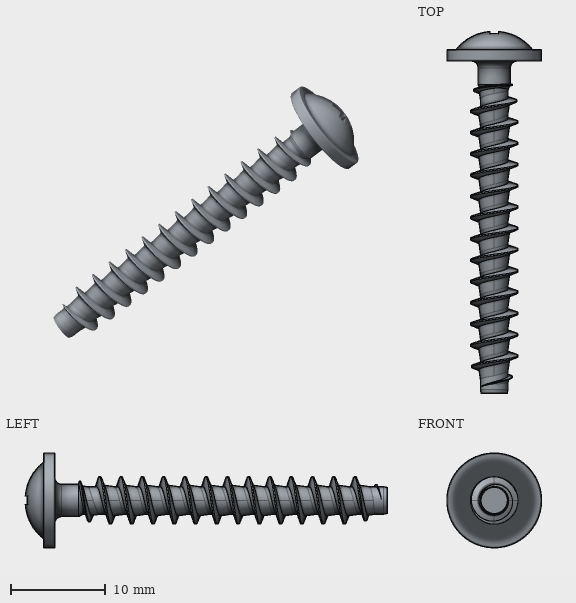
import cadquery as cq
import math


flange_diameter = 10.0
flange_thickness = 1.2
flange_edge_radius = 0.1
dome_base_radius = 4.05
overall_length = 38.13
shaft_length = 35.0
head_height = overall_length - shaft_length

recess_width = 0.9
recess_span = 3.1
recess_depth = 2.0

shank_radius = 1.71
neck_fillet = 0.7
shank_length = 2.48
shank_taper_length = 0.5
core_radius = 1.46
tip_radius = 1.38
tip_taper_length = 0.4

pitch = 2.24
crest_radius = 2.5
crest_half_width = 0.07
foot_half_width = 0.38
foot_radius = 1.63
ramp_length = 1.4
buried_radius = 1.42
runout_radius = 1.44

first_turn = -0.25
last_turn = 14.5
lead_in_turns = 0.5
thread_start_y = -2.49
segment_turns = 0.25
steps_per_segment = 4
crest_course = [
    (first_turn, runout_radius),
    (0.0, 1.95),
    (1.25, crest_radius),
    (13.25, crest_radius),
    (13.5, 2.41),
    (last_turn, runout_radius),
]


def make_body():
    """Head, shank and core as one revolved outline."""
    corner_radius = recess_width / math.sqrt(2)
    corner_rise = head_height - flange_thickness
    centre_rise = (corner_radius**2 + corner_rise**2 - dome_base_radius**2) / (2 * corner_rise)
    dome_radius = math.hypot(dome_base_radius, centre_rise)
    centre_y = flange_thickness + centre_rise
    apex_y = centre_y + dome_radius
    half_angle = math.atan2(dome_base_radius, -centre_rise) / 2
    dome_mid = (dome_radius * math.sin(half_angle), centre_y + dome_radius * math.cos(half_angle))

    flange_radius = flange_diameter / 2
    outline = (
        cq.Workplane("XY")
        .moveTo(0, -shaft_length)
        .lineTo(tip_radius, -shaft_length)
        .lineTo(core_radius, -shaft_length + tip_taper_length)
        .lineTo(core_radius, -shank_length - shank_taper_length)
        .lineTo(shank_radius, -shank_length)
        .lineTo(shank_radius, -neck_fillet)
        .radiusArc((shank_radius + neck_fillet, 0), neck_fillet)
        .lineTo(flange_radius - flange_edge_radius, 0)
        .radiusArc((flange_radius, flange_edge_radius), -flange_edge_radius)
        .lineTo(flange_radius, flange_thickness - flange_edge_radius)
        .radiusArc((flange_radius - flange_edge_radius, flange_thickness), -flange_edge_radius)
        .lineTo(dome_base_radius, flange_thickness)
        .threePointArc(dome_mid, (0, apex_y))
        .close()
    )
    return outline.revolve(360, (0, 0, 0), (0, 1, 0))


def make_recess():
    """Cross-shaped driver recess, cut down from above the head."""
    clearance = 1.0
    height = recess_depth + clearance
    centre_y = head_height - recess_depth + height / 2
    along_x = cq.Workplane("XY").box(recess_span, height, recess_width)
    along_z = cq.Workplane("XY").box(recess_width, height, recess_span)
    return along_x.union(along_z).translate((0, centre_y, 0))


def crest_at(turn):
    """Crest radius of the thread at a given turn."""
    for (turn_a, radius_a), (turn_b, radius_b) in zip(crest_course, crest_course[1:]):
        if turn <= turn_b:
            return radius_a + (radius_b - radius_a) * (turn - turn_a) / (turn_b - turn_a)
    return crest_course[-1][1]


def thread_y(turn):
    """Axial position of the crest: level, then easing into the constant pitch."""
    if turn <= 0:
        return thread_start_y
    if turn <= lead_in_turns:
        return thread_start_y - pitch * turn**2 / (2 * lead_in_turns)
    return thread_start_y - pitch * (turn - lead_in_turns / 2)


def thread_point(corner, turn):
    """Place of a profile corner at a given turn; the profile shrinks with the crest at both ends."""
    radius, offset = corner
    scale = (crest_at(turn) - buried_radius) / (crest_radius - buried_radius)
    local_radius = buried_radius + (radius - buried_radius) * scale
    angle = 2 * math.pi * turn
    return cq.Vector(
        local_radius * math.cos(angle),
        thread_y(turn) + offset * scale,
        local_radius * math.sin(angle),
    )


def thread_edge(corner, start_turn):
    """Helical edge traced by one profile corner over a single thread segment."""
    turns = [start_turn + segment_turns * step / steps_per_segment for step in range(steps_per_segment + 1)]
    points = [thread_point(corner, turn) for turn in turns]
    return cq.Edge.makeSpline(points, parameters=turns)


def thread_cap(profile, turn):
    """Flat face closing the thread at one end."""
    corners = [thread_point(corner, turn) for corner in profile]
    return cq.Face.makeFromWires(cq.Wire.makePolygon(corners, close=True))


def make_thread():
    """Thread ridge with its sloping root: ruled faces segment by segment, and two end caps."""
    profile = [
        (buried_radius, foot_half_width),
        (crest_radius, crest_half_width),
        (crest_radius, -crest_half_width),
        (foot_radius, -foot_half_width),
        (buried_radius, -foot_half_width - ramp_length),
    ]
    faces = [thread_cap(profile, first_turn), thread_cap(profile, last_turn)]
    segment_count = round((last_turn - first_turn) / segment_turns)
    for segment in range(segment_count):
        start_turn = first_turn + segment * segment_turns
        edges = [thread_edge(corner, start_turn) for corner in profile]
        for edge, next_edge in zip(edges, edges[1:] + edges[:1]):
            faces.append(cq.Face.makeRuledSurface(edge, next_edge))
    solid = cq.Solid.makeSolid(cq.Shell.makeShell(faces))
    return cq.Workplane(solid.fix())


result = make_body().union(make_thread(), clean=False).cut(make_recess(), clean=False)